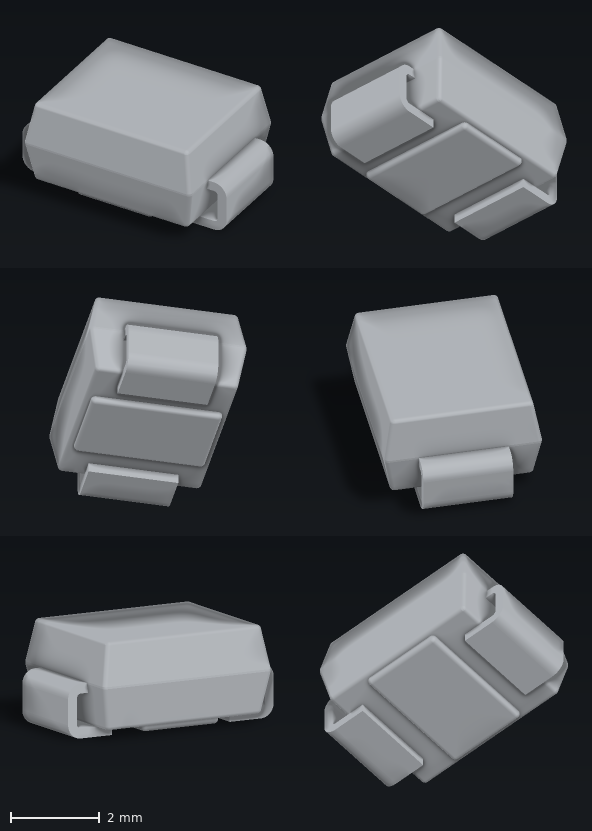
import cadquery as cq

overall_length = 5.34
body_width = 3.62
overall_height = 2.28

body_length = 4.37
body_bottom = 0.24
draft_angle = 10.0
parting_band = 0.05
edge_radius = 0.1
body_height = overall_height - body_bottom
parting_height = body_bottom + body_height / 2
half_height = (body_height - parting_band) / 2

pad_length = 1.985
pad_width = 3.01
pad_bottom = 0.09

lead_thickness = 0.23
lead_width = 2.065
lead_bend_radius = 0.33
lead_inner_radius = lead_bend_radius - lead_thickness
lead_foot_length = 1.145
lead_height = parting_height
lead_embedment = 0.535


def drafted_half(direction):
    """Half of the body, narrowing away from the parting band (direction +1 up, -1 down)."""
    band_face = parting_height + direction * parting_band / 2
    return (
        cq.Workplane("XY", origin=(0, 0, band_face))
        .rect(body_length, body_width)
        .extrude(direction * half_height, taper=draft_angle)
    )


def make_body():
    band = cq.Workplane("XY").box(body_length, body_width, parting_band)
    body = band.translate((0, 0, parting_height)).union(drafted_half(1)).union(drafted_half(-1))
    body = body.edges("not (#Z)").fillet(edge_radius)
    return body.faces("<Z or >Z").edges().fillet(edge_radius)


def make_pad():
    pad = (
        cq.Workplane("XY", origin=(0, 0, pad_bottom))
        .rect(pad_length, pad_width)
        .extrude(parting_height - pad_bottom)
    )
    return pad.edges("|Z").fillet(edge_radius).faces("<Z").edges().fillet(edge_radius)


def make_left_lead():
    """Lead running out of the body, down its side and back under it."""
    outer_face = -overall_length / 2
    inner_face = outer_face + lead_thickness
    foot_end = outer_face + lead_foot_length
    embedded_end = -body_length / 2 + lead_embedment
    lead = (
        cq.Workplane("XZ")
        .moveTo(embedded_end, lead_height)
        .lineTo(outer_face, lead_height)
        .lineTo(outer_face, 0)
        .lineTo(foot_end, 0)
        .lineTo(foot_end, lead_thickness)
        .lineTo(inner_face, lead_thickness)
        .lineTo(inner_face, lead_height - lead_thickness)
        .lineTo(embedded_end, lead_height - lead_thickness)
        .close()
        .extrude(lead_width / 2, both=True)
    )
    lead = lead.edges("|Y and <X").fillet(lead_bend_radius)
    inner_wall = lead.faces(cq.selectors.NearestToPointSelector((inner_face, 0, lead_height / 2)))
    return inner_wall.edges("|Y").fillet(lead_inner_radius)


left_lead = make_left_lead()
right_lead = left_lead.mirror("YZ")
result = make_body().union(make_pad()).union(left_lead).union(right_lead)